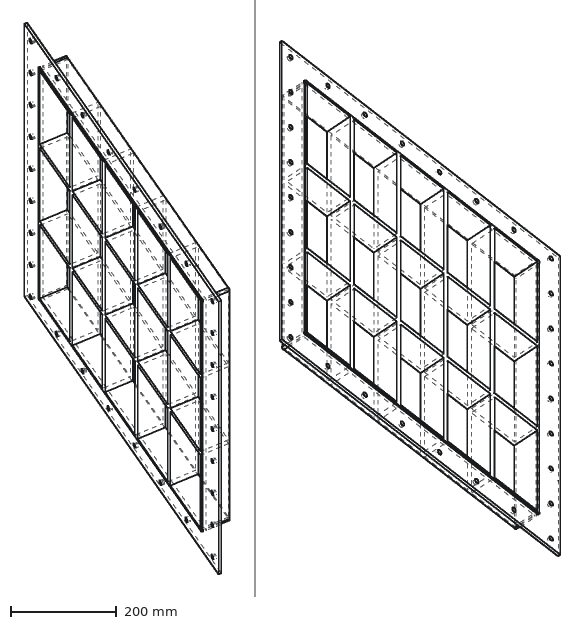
import math

import cadquery as cq

FLANGE_WIDTH = 774.0
FLANGE_HEIGHT = 810.0
FLANGE_THICKNESS = 6.0

DEPTH = 60.0
FRONT_LIP = 3.0
DUCT_WIDTH = 650.5
DUCT_HEIGHT = 686.0
WALL = 5.0
BORE_WIDTH = DUCT_WIDTH - 2 * WALL
BORE_HEIGHT = DUCT_HEIGHT - 2 * WALL

BEAD_RADIUS = WALL / math.sqrt(2)

COLUMNS = 5
ROWS = 3
BAR_THICKNESS = 11.0
COLUMN_PITCH = DUCT_WIDTH / COLUMNS
ROW_PITCH = DUCT_HEIGHT / ROWS

HOLE_DIAMETER = 10.0
HOLE_INSET = 25.0
HOLES_ACROSS = 8
HOLES_UP = 9
HOLE_PITCH_X = (FLANGE_WIDTH - 2 * HOLE_INSET) / (HOLES_ACROSS - 1)
HOLE_PITCH_Z = (FLANGE_HEIGHT - 2 * HOLE_INSET) / (HOLES_UP - 1)


def plane_at(y):
    """XZ sketch plane at the given Y; its normal points toward -Y."""
    return cq.Workplane("XZ", origin=(0, y, 0))


def slab(width, height, front, thickness):
    """Rectangular block centred on the Y axis, from its front face toward +Y."""
    return plane_at(front).rect(width, height).extrude(-thickness)


def centred_positions(count, pitch):
    """Evenly spaced coordinates, symmetric about zero."""
    return [(index - (count - 1) / 2) * pitch for index in range(count)]


def bolt_hole_centres():
    """Hole positions on the four outermost lines of the hole lattice."""
    xs = centred_positions(HOLES_ACROSS, HOLE_PITCH_X)
    zs = centred_positions(HOLES_UP, HOLE_PITCH_Z)
    edge_xs = (xs[0], xs[-1])
    edge_zs = (zs[0], zs[-1])
    return [(x, z) for x in xs for z in zs if x in edge_xs or z in edge_zs]


def make_flange():
    """Drilled plate, solid in the middle until the bore is cut."""
    holes = (
        plane_at(FRONT_LIP)
        .pushPoints(bolt_hole_centres())
        .circle(HOLE_DIAMETER / 2)
        .extrude(-FLANGE_THICKNESS)
    )
    return slab(FLANGE_WIDTH, FLANGE_HEIGHT, FRONT_LIP, FLANGE_THICKNESS).cut(holes)


def make_duct_envelope():
    """Wall plates that meet only at the bore corners, as a solid cross."""
    side_walls = slab(DUCT_WIDTH, BORE_HEIGHT, 0, DEPTH)
    top_and_bottom = slab(BORE_WIDTH, DUCT_HEIGHT, 0, DEPTH)
    return side_walls.union(top_and_bottom)


def make_corner_beads():
    """Round beads that join the wall plates along the four corners."""
    return (
        plane_at(0)
        .rect(DUCT_WIDTH - WALL, DUCT_HEIGHT - WALL, forConstruction=True)
        .vertices()
        .circle(BEAD_RADIUS)
        .extrude(-DEPTH)
    )


def make_bars():
    """Crossing bars, reaching halfway into the walls so that they fuse with them."""
    uprights = (
        plane_at(0)
        .pushPoints([(x, 0) for x in centred_positions(COLUMNS - 1, COLUMN_PITCH)])
        .rect(BAR_THICKNESS, BORE_HEIGHT + WALL)
        .extrude(-DEPTH)
    )
    crossbars = (
        plane_at(0)
        .pushPoints([(0, z) for z in centred_positions(ROWS - 1, ROW_PITCH)])
        .rect(BORE_WIDTH + WALL, BAR_THICKNESS)
        .extrude(-DEPTH)
    )
    return uprights.union(crossbars)


bore = slab(BORE_WIDTH, BORE_HEIGHT, 0, DEPTH)
frame = make_flange().union(make_duct_envelope()).union(make_corner_beads()).cut(bore)
result = frame.union(make_bars())